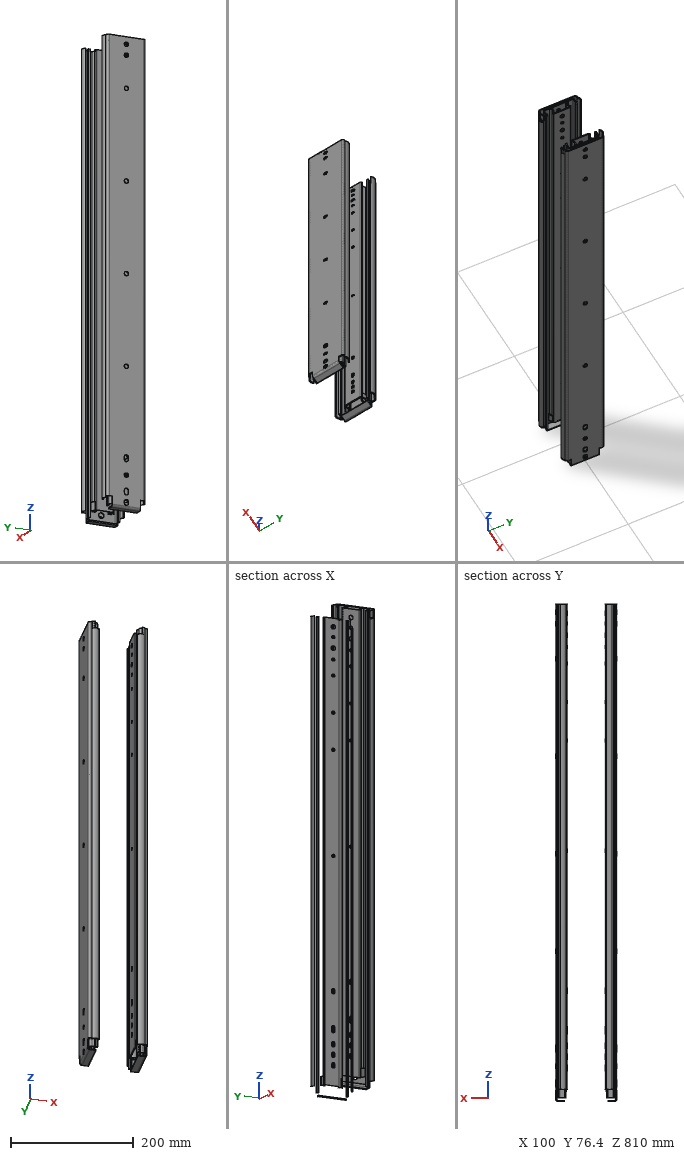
import cadquery as cq
import math

PAIR_WIDTH = 100.0
SLIDE_HEIGHT = 76.37
TOP = 810.0
SLIDE_DEPTH = 19.1
SHEET = 2.0
MOUNT_X = -PAIR_WIDTH / 2

OUTER_CORNER_Y = 35.2
OUTER_CORNER_R = 4.0
BALL_X = MOUNT_X + 11.3
BULGE_R = 7.8
BULGE_Y = SLIDE_HEIGHT / 2 - BULGE_R
BULGE_END_ANGLE = 31.0
FLANGE_BOTTOM = 16.0
NOTCH_TOP = 18.0
TONGUE_HALF_WIDTH = 25.6
FOOT_X = MOUNT_X + 14.6
FOOT_BEND_R = 4.0
STOP_LENGTH = 12.5
STOP_CUT_X = MOUNT_X + 10.4
STOP_START = (MOUNT_X + 7.5, -36.2)
STOP_END = (MOUNT_X + 15.2, -32.6)

MIDDLE_BACK_X = MOUNT_X + 3.8
MIDDLE_TIP_X = MOUNT_X + 17.0
MIDDLE_Y = 28.5
MIDDLE_LIP_Y = 25.3
MIDDLE_LIP_WIDTH = 2.8
MIDDLE_CORNER_R = 3.5
MIDDLE_BOTTOM = 6.0
MIDDLE_GROOVE_X = MOUNT_X + 12.2
MIDDLE_GROOVE_R = 0.6

INNER_FACE_X = MOUNT_X + SLIDE_DEPTH
INNER_TIP_X = MOUNT_X + 6.0
INNER_Y = 17.3
INNER_LIP_Y = 12.0
INNER_CORNER_R = 3.0
INNER_BOTTOM = 20.0
INNER_TRACK_R = 4.6
INNER_TRACK_DEPTH = 3.0
INNER_STOP_LENGTH = 15.0
INNER_STOP_START = (MOUNT_X + 17.0, 17.0)
INNER_STOP_END = (MOUNT_X + 10.0, 20.9)

HOLE_D = 7.36
LARGE_HOLE_D = 9.52
SMALL_HOLE_D = 5.16
ROW_FIRST_Z = 244.4
ROW_PITCH = 159.0
ROW_COUNT = 4
OUTER_TOP_HOLE_Z = 797.0
RIVET_HOLE_Z = (57.7, 778.3)
OUTER_LOW_SLOT_Z = 10.7
OUTER_LOW_SLOT_LENGTH = 9.8
OUTER_SLOT_Z = (29.3, 86.6)
OUTER_SLOT_LENGTH = 11.6
MIDDLE_HOLE_Z = (90.0, 795.5)
MIDDLE_LARGE_HOLE_Z = 16.4
INNER_HOLE_Z = (759.6, 795.5)
INNER_SMALL_HOLE_Z = (408.5, 587.8, 650.5, 713.3, 740.2, 778.3)
INNER_SLOT_Z = (54.6, 72.6, 90.5, 180.1)
INNER_SLOT_LENGTH = 9.0
INNER_LONG_SLOT_Z = 115.9
INNER_LONG_SLOT_LENGTH = 12.0

EXTRA = 1.0


def polar(centre, radius, degrees):
    angle = math.radians(degrees)
    return (centre[0] + radius * math.cos(angle), centre[1] + radius * math.sin(angle))


def both_halves(half, bottom):
    """Extrude the +Y half of a rail section up to the top and join it with its mirror image."""
    solid = half.close().extrude(TOP - bottom)
    return solid.union(solid.mirror("XZ")).clean()


def drill(rail, web_x, diameter, heights, length=None):
    """Cut holes on the Y centre line through the web whose lower-X face is at web_x.

    With a length the holes are upright slots of that overall length.
    """
    for z in heights:
        sketch = cq.Workplane("YZ", origin=(web_x - EXTRA, 0, z))
        if length is None:
            sketch = sketch.circle(diameter / 2)
        else:
            sketch = sketch.slot2D(length, diameter, 90)
        rail = rail.cut(sketch.extrude(SHEET + 2 * EXTRA))
    return rail


def block(x_range, y_range, z_range):
    size = [b - a for a, b in (x_range, y_range, z_range)]
    return (cq.Workplane("XY").box(*size, centered=False)
            .translate((x_range[0], y_range[0], z_range[0])))


def stop_tab(start, end, bottom, length):
    """Upright strip from start to end, with its thickness on the left of that line."""
    direction = math.degrees(math.atan2(end[1] - start[1], end[0] - start[0]))
    across = direction + 90
    return (cq.Workplane("XY", origin=(0, 0, bottom))
            .polyline([start, end, polar(end, SHEET, across), polar(start, SHEET, across)])
            .close().extrude(length))


def outer_section():
    centre = (BALL_X, BULGE_Y)
    inner_r = BULGE_R - SHEET
    inside_y = OUTER_CORNER_Y - SHEET
    start_x = BALL_X - math.sqrt(BULGE_R**2 - (OUTER_CORNER_Y - BULGE_Y) ** 2)
    inside_x = BALL_X - math.sqrt(inner_r**2 - (inside_y - BULGE_Y) ** 2)
    return (cq.Workplane("XY")
            .moveTo(MOUNT_X, 0)
            .lineTo(MOUNT_X, OUTER_CORNER_Y - OUTER_CORNER_R)
            .radiusArc((MOUNT_X + OUTER_CORNER_R, OUTER_CORNER_Y), OUTER_CORNER_R)
            .lineTo(start_x, OUTER_CORNER_Y)
            .threePointArc(polar(centre, BULGE_R, 90), polar(centre, BULGE_R, BULGE_END_ANGLE))
            .lineTo(*polar(centre, inner_r, BULGE_END_ANGLE))
            .threePointArc(polar(centre, inner_r, 90), (inside_x, inside_y))
            .lineTo(MOUNT_X + OUTER_CORNER_R, inside_y)
            .radiusArc((MOUNT_X + SHEET, OUTER_CORNER_Y - OUTER_CORNER_R), -(OUTER_CORNER_R - SHEET))
            .lineTo(MOUNT_X + SHEET, 0))


def make_outer_rail():
    rail = both_halves(outer_section(), 0)
    far_x = MOUNT_X + SLIDE_DEPTH
    reach = SLIDE_HEIGHT / 2 + EXTRA
    for side in (-1, 1):
        y_range = sorted((side * TONGUE_HALF_WIDTH, side * reach))
        rail = rail.cut(block((MOUNT_X - EXTRA, far_x), y_range, (-EXTRA, FLANGE_BOTTOM)))
        y_range = sorted((side * TONGUE_HALF_WIDTH, side * OUTER_CORNER_Y))
        corner_x = (MOUNT_X - EXTRA, MOUNT_X + OUTER_CORNER_R)
        rail = rail.cut(block(corner_x, y_range, (-EXTRA, NOTCH_TOP)))
    tongue_width = (-TONGUE_HALF_WIDTH, TONGUE_HALF_WIDTH)
    rail = rail.union(block((MOUNT_X, FOOT_X), tongue_width, (0, SHEET)))
    inside_bend = cq.selectors.NearestToPointSelector((MOUNT_X + SHEET, 0, SHEET))
    rail = rail.edges("|Y").edges("<Z").edges("<X").fillet(FOOT_BEND_R)
    rail = rail.edges("|Y").edges(inside_bend).fillet(FOOT_BEND_R - SHEET)
    stop_bottom = TOP - STOP_LENGTH
    rail = rail.cut(block((STOP_CUT_X, far_x), (-reach, -TONGUE_HALF_WIDTH), (stop_bottom, TOP + EXTRA)))
    tab = stop_tab(STOP_START, STOP_END, stop_bottom, STOP_LENGTH)
    rail = rail.union(tab)
    row = [ROW_FIRST_Z + i * ROW_PITCH for i in range(ROW_COUNT)]
    rail = drill(rail, MOUNT_X, HOLE_D, [*row, OUTER_TOP_HOLE_Z, *RIVET_HOLE_Z])
    rail = drill(rail, MOUNT_X, HOLE_D, [OUTER_LOW_SLOT_Z], OUTER_LOW_SLOT_LENGTH)
    return drill(rail, MOUNT_X, HOLE_D, OUTER_SLOT_Z, OUTER_SLOT_LENGTH)


def make_middle_rail():
    back = MIDDLE_BACK_X
    half = (cq.Workplane("XY", origin=(0, 0, MIDDLE_BOTTOM))
            .moveTo(back, 0)
            .lineTo(back, MIDDLE_Y - MIDDLE_CORNER_R)
            .radiusArc((back + MIDDLE_CORNER_R, MIDDLE_Y), MIDDLE_CORNER_R)
            .lineTo(MIDDLE_GROOVE_X - MIDDLE_GROOVE_R, MIDDLE_Y)
            .threePointArc((MIDDLE_GROOVE_X, MIDDLE_Y - MIDDLE_GROOVE_R),
                           (MIDDLE_GROOVE_X + MIDDLE_GROOVE_R, MIDDLE_Y))
            .lineTo(MIDDLE_TIP_X, MIDDLE_Y)
            .lineTo(MIDDLE_TIP_X, MIDDLE_LIP_Y)
            .lineTo(MIDDLE_TIP_X - MIDDLE_LIP_WIDTH, MIDDLE_LIP_Y)
            .lineTo(MIDDLE_TIP_X - MIDDLE_LIP_WIDTH, MIDDLE_Y - SHEET)
            .lineTo(back + MIDDLE_CORNER_R, MIDDLE_Y - SHEET)
            .radiusArc((back + SHEET, MIDDLE_Y - MIDDLE_CORNER_R), -(MIDDLE_CORNER_R - SHEET))
            .lineTo(back + SHEET, 0))
    rail = both_halves(half, MIDDLE_BOTTOM)
    rail = drill(rail, back, HOLE_D, MIDDLE_HOLE_Z)
    rail = drill(rail, back, LARGE_HOLE_D, [MIDDLE_LARGE_HOLE_Z])
    return drill(rail, back, SMALL_HOLE_D, RIVET_HOLE_Z)


def make_inner_rail():
    face = INNER_FACE_X
    inside_face = face - SHEET
    inside_lip = INNER_TIP_X + SHEET
    track_bottom_y = INNER_Y - INNER_TRACK_DEPTH
    track_y = track_bottom_y + INNER_TRACK_R
    half_track = math.sqrt(INNER_TRACK_R**2 - (track_y - INNER_Y) ** 2)

    def track_back(x):
        """Point at x on the inward side of the ball track."""
        return (x, track_y - math.sqrt((INNER_TRACK_R + SHEET) ** 2 - (x - BALL_X) ** 2))

    half = (cq.Workplane("XY", origin=(0, 0, INNER_BOTTOM))
            .moveTo(face, 0)
            .lineTo(face, INNER_Y - INNER_CORNER_R)
            .radiusArc((face - INNER_CORNER_R, INNER_Y), -INNER_CORNER_R)
            .lineTo(BALL_X + half_track, INNER_Y)
            .threePointArc((BALL_X, track_bottom_y), (BALL_X - half_track, INNER_Y))
            .lineTo(INNER_TIP_X, INNER_Y)
            .lineTo(INNER_TIP_X, INNER_LIP_Y)
            .lineTo(inside_lip, INNER_LIP_Y)
            .lineTo(*track_back(inside_lip))
            .threePointArc(track_back(BALL_X), track_back(inside_face))
            .lineTo(inside_face, 0))
    rail = both_halves(half, INNER_BOTTOM)
    tab = stop_tab(INNER_STOP_START, INNER_STOP_END, INNER_BOTTOM, INNER_STOP_LENGTH)
    rail = rail.union(tab).union(tab.mirror("XZ"))
    rail = drill(rail, inside_face, HOLE_D, INNER_HOLE_Z)
    rail = drill(rail, inside_face, SMALL_HOLE_D, INNER_SMALL_HOLE_Z)
    rail = drill(rail, inside_face, SMALL_HOLE_D, INNER_SLOT_Z, INNER_SLOT_LENGTH)
    return drill(rail, inside_face, SMALL_HOLE_D, [INNER_LONG_SLOT_Z], INNER_LONG_SLOT_LENGTH)


def left_and_right(rail):
    """The rail of the left slide and its mirror image for the right slide."""
    return cq.Workplane("XY").newObject([rail.val(), rail.mirror("YZ").val()])


outer_rails = left_and_right(make_outer_rail())
middle_rails = left_and_right(make_middle_rail())
inner_rails = left_and_right(make_inner_rail())

result = cq.Compound.makeCompound([*outer_rails.vals(), *middle_rails.vals(), *inner_rails.vals()])